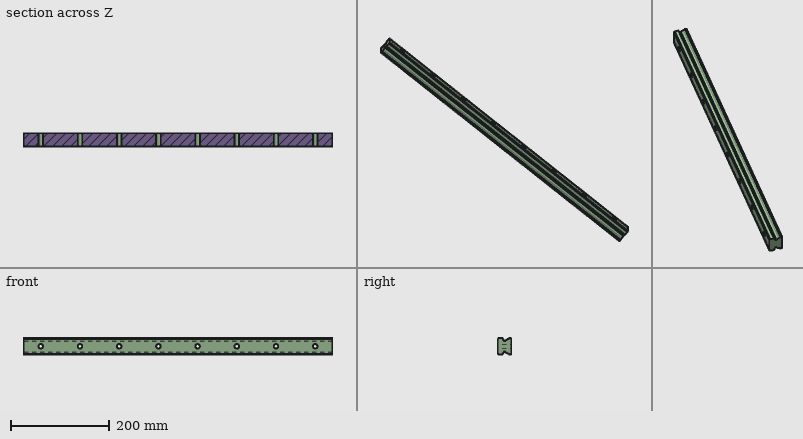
import cadquery as cq
import math

length = 630.0
width = 28.0
height = 34.0

front_chamfer = 2.2
back_chamfer = 1.0
lip_position = 3.9
lip_depth = 0.8
shoulder_end = 7.5
shoulder_angle = 22.0
relief_back = 12.5
relief_front = 14.5
relief_depth = 6.0
groove_back_angle = 30.0
groove_front_angle = 90.0 - groove_back_angle

hole_count = 8
hole_pitch = 80.0
hole_diameter = 9.0

back = width / 2
front = -width / 2
top = height / 2


def drop(run, angle):
    """Depth gained over a horizontal run at an angle in degrees."""
    return run * math.tan(math.radians(angle))


shoulder_depth = lip_depth + drop(shoulder_end - lip_position, shoulder_angle)
groove_back_depth = shoulder_depth + drop(relief_back - shoulder_end, groove_back_angle)
groove_front = relief_front + relief_depth / math.tan(math.radians(groove_front_angle))


def make_rail():
    """Extrude the section, which is mirrored about the horizontal midplane."""
    upper_outline = [
        (front, top - front_chamfer),
        (front + front_chamfer, top),
        (back - groove_front, top),
        (back - relief_front, top - relief_depth),
        (back - relief_back, top - relief_depth),
        (back - relief_back, top - groove_back_depth),
        (back - shoulder_end, top - shoulder_depth),
        (back - lip_position, top - lip_depth),
        (back - lip_position, top),
        (back - back_chamfer, top),
        (back, top - back_chamfer),
    ]
    lower_outline = [(y, -z) for y, z in reversed(upper_outline)]
    section = cq.Workplane("YZ", origin=(-length / 2, 0, 0))
    return section.polyline(upper_outline + lower_outline).close().extrude(length)


def make_holes():
    """Cylinders along Y, evenly spaced along the rail."""
    return (
        cq.Workplane("XZ", origin=(0, back, 0))
        .rarray(hole_pitch, 6, hole_count, 1)
        .circle(hole_diameter / 2)
        .extrude(width)
    )


result = make_rail().cut(make_holes())